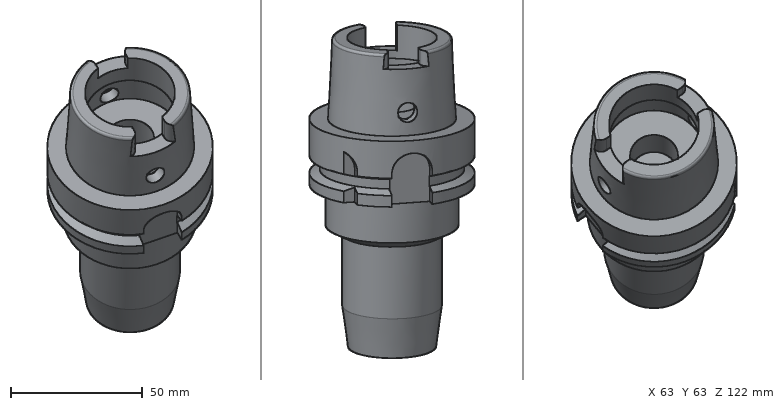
import cadquery as cq

total_height = 122.0
shank_length = 32.0
flange_top = total_height - shank_length
flange_bottom = 64.0
neck_bottom = 48.1
nose_cylinder_top = 44.7
nose_taper_top = 16.3

flange_radius = 31.5
neck_radius = 25.4
nose_radius = 19.0
nose_tip_radius = 16.8
shank_base_radius = 24.4
shank_taper = 1 / 20
shank_top_radius = shank_base_radius - shank_length * shank_taper
rim_round = 1.1

groove_center = 72.0
groove_radius = 27.6
groove_floor_width = 3.8
groove_mouth_width = 6.8

mouth_radius = 17.1
mouth_depth = 13.2
chamber_radius = 19.5
chamber_depth = 27.0
pocket_radius = 9.2
pocket_depth = 41.5
through_radius = 4.0

drive_slot_width = 12.5
drive_slot_round = 3.3
drive_slot_flare_start = 18.0
shallow_slot_depth = 6.0
deep_slot_depth = 10.0

cross_hole_radius = 3.8
cross_hole_z = 99.1

keyway_width = 15.9
keyway_top = 85.0
keyway_floor_x = 26.5
side_notch_floor_x = 20.1
side_notch_y = 27.8


def turned_body():
    """Revolve the outside of the holder, with a rounded rim."""
    half_floor = groove_floor_width / 2
    half_mouth = groove_mouth_width / 2
    outline = [
        (0, 0),
        (nose_tip_radius, 0),
        (nose_radius, nose_taper_top),
        (nose_radius, nose_cylinder_top),
        (neck_radius, neck_bottom),
        (neck_radius, flange_bottom),
        (flange_radius, flange_bottom),
        (flange_radius, groove_center - half_mouth),
        (groove_radius, groove_center - half_floor),
        (groove_radius, groove_center + half_floor),
        (flange_radius, groove_center + half_mouth),
        (flange_radius, flange_top),
        (shank_base_radius, flange_top),
        (shank_top_radius, total_height),
        (0, total_height),
    ]
    body = cq.Workplane("XZ").polyline(outline).close().revolve(360, (0, 0, 0), (0, 1, 0))
    return body.faces(">Z").edges().fillet(rim_round)


def stepped_bore():
    """Revolve the inside: mouth, wider chamber, pocket and through hole."""
    mouth_end = total_height - mouth_depth
    chamber_end = total_height - chamber_depth
    pocket_end = total_height - pocket_depth
    outline = [
        (0, 0),
        (through_radius, 0),
        (through_radius, pocket_end),
        (pocket_radius, pocket_end),
        (pocket_radius, chamber_end),
        (chamber_radius, chamber_end),
        (chamber_radius, mouth_end),
        (mouth_radius, mouth_end),
        (mouth_radius, total_height),
        (0, total_height),
    ]
    return cq.Workplane("XZ").polyline(outline).close().revolve(360, (0, 0, 0), (0, 1, 0))


def drive_slot(side, depth):
    """Slot through the rim on one X side; its outer corners flare with a round."""
    half = drive_slot_width / 2
    flare_end = drive_slot_flare_start + drive_slot_round
    flare_half = half + drive_slot_round
    return (
        cq.Workplane("XY", origin=(0, 0, total_height - depth))
        .moveTo(0, -half)
        .lineTo(side * drive_slot_flare_start, -half)
        .radiusArc((side * flare_end, -flare_half), side * drive_slot_round)
        .lineTo(side * flange_radius, -flare_half)
        .lineTo(side * flange_radius, flare_half)
        .lineTo(side * flare_end, flare_half)
        .radiusArc((side * drive_slot_flare_start, half), side * drive_slot_round)
        .lineTo(0, half)
        .close()
        .extrude(depth)
    )


def keyway(side, center_y, floor_x):
    """Round-topped cut into the flange along X, open at the flange bottom."""
    half = keyway_width / 2
    arch_z = keyway_top - half
    depth = flange_radius - floor_x
    return (
        cq.Workplane("YZ", origin=(side * floor_x, 0, 0))
        .moveTo(center_y - half, flange_bottom)
        .lineTo(center_y - half, arch_z)
        .threePointArc((center_y, keyway_top), (center_y + half, arch_z))
        .lineTo(center_y + half, flange_bottom)
        .close()
        .extrude(side * depth)
    )


cross_hole = (
    cq.Workplane("YZ")
    .center(0, cross_hole_z)
    .circle(cross_hole_radius)
    .extrude(flange_radius, both=True)
)

result = (
    turned_body()
    .cut(stepped_bore())
    .cut(drive_slot(-1, shallow_slot_depth))
    .cut(drive_slot(1, deep_slot_depth))
    .cut(cross_hole)
    .cut(keyway(-1, 0, keyway_floor_x))
    .cut(keyway(1, 0, keyway_floor_x))
    .cut(keyway(-1, side_notch_y, side_notch_floor_x))
)